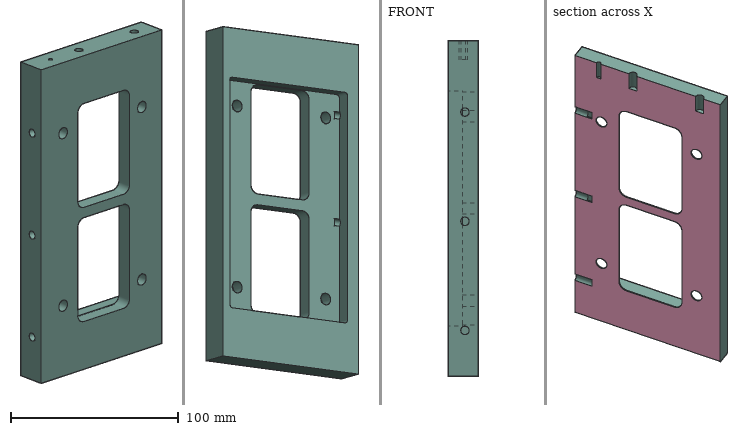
import cadquery as cq

thickness = 18.0
width = 98.0
height = 200.0
mid_z = height / 2

pocket_depth = 8.5
pocket_height = 140.0
pocket_wall_front = 8.0
pocket_wall_back = 5.0
pocket_radius = 2.0

window_width = 42.0
window_height = 66.2
window_radius = 5.0
window_center_y = 50.8
rib_height = 6.5

mount_diameter = 7.0
mount_center_y = 49.8
mount_spacing_y = 64.0
mount_spacing_z = 110.0

edge_hole_diameter = 5.0
edge_hole_depth = 11.5
side_hole_x = 10.0
side_hole_middle_z = 92.5
side_hole_spacing = 65.0
top_hole_x = thickness / 2
top_hole_ys = (39.0, 84.0)
pin_hole_diameter = 2.5
pin_hole_y = 16.0


def rounded_cut(depth, center_y, center_z, size_y, size_z, radius):
    """Block with rounded corners reaching from the -X face to the given depth."""
    block = cq.Workplane("XY").box(depth, size_y, size_z).edges("|X").fillet(radius)
    return block.translate((depth / 2, center_y, center_z))


def drill(start, direction, diameter, depth):
    """Flat-bottomed cylinder from a start point."""
    return cq.Solid.makeCylinder(diameter / 2, depth, cq.Vector(*start), cq.Vector(*direction))


result = cq.Workplane("XY").box(thickness, width, height, centered=False)

pocket_width = width - pocket_wall_front - pocket_wall_back
pocket_center_y = pocket_wall_front + pocket_width / 2
result = result.cut(
    rounded_cut(pocket_depth, pocket_center_y, mid_z, pocket_width, pocket_height, pocket_radius)
)

for side_z in (-1, 1):
    window_z = mid_z + side_z * (window_height + rib_height) / 2
    result = result.cut(
        rounded_cut(thickness, window_center_y, window_z, window_width, window_height, window_radius)
    )
    mount_z = mid_z + side_z * mount_spacing_z / 2
    for side_y in (-1, 1):
        mount_y = mount_center_y + side_y * mount_spacing_y / 2
        result = result.cut(drill((0, mount_y, mount_z), (1, 0, 0), mount_diameter, thickness))

for step in (-1, 0, 1):
    hole_z = side_hole_middle_z + step * side_hole_spacing
    result = result.cut(
        drill((side_hole_x, 0, hole_z), (0, 1, 0), edge_hole_diameter, edge_hole_depth)
    )

for hole_y in top_hole_ys:
    result = result.cut(
        drill((top_hole_x, hole_y, height), (0, 0, -1), edge_hole_diameter, edge_hole_depth)
    )
result = result.cut(
    drill((top_hole_x, pin_hole_y, height), (0, 0, -1), pin_hole_diameter, edge_hole_depth)
)